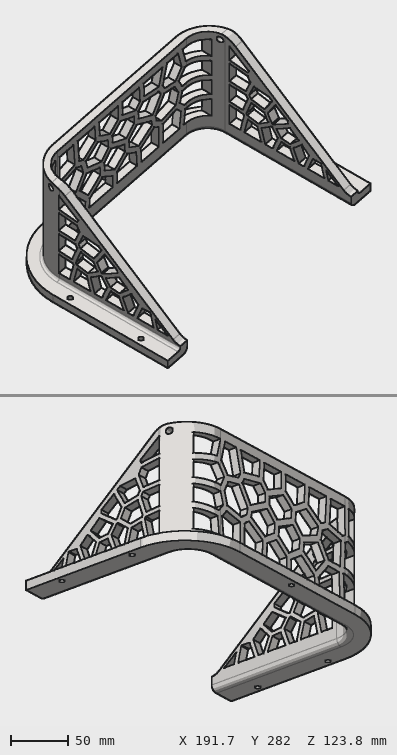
import cadquery as cq
import math

length = 191.7
width = 282.0
height = 123.8

flange_thickness = 9.3
flange_corner_radius = 61.7
back_wall_offset = 17.0
side_wall_offset = 17.5
wall_corner_radius = 38.0
root_fillet = 3.0
back_inner_offset = 25.5
side_inner_offset = 27.0
inner_corner_radius = 24.2
inner_bottom_fillet = 6.0

slope_top_x = 54.5
toe_height = 13.8
slope_toe_x = 187.0
slope_top_tangent = 9.0

flange_hole_diameter = 5.0
flange_hole_inset = 6.5
flange_hole_xs = (76.5, 156.2)
wall_hole_diameter = 6.5
wall_hole_x = 44.5
wall_hole_drop = 7.3

back_window_bottom = 19.2
window_top = 114.0
back_window_half_width = 110.5
back_web = 6.2
back_seeds = [
    (98.7, 105.0), (71.0, 98.0), (43.0, 105.2), (13.5, 103.5),
    (-17.0, 103.5), (-50.0, 101.2), (-75.5, 99.5), (-102.5, 99.8),
    (96.0, 78.7), (38.3, 80.4), (2.5, 79.5), (-33.5, 76.5), (-68.0, 67.5), (-98.5, 66.0),
    (96.7, 53.5), (64.0, 63.5), (25.0, 55.8), (-10.0, 53.5), (-43.5, 51.3),
    (99.5, 29.0), (70.2, 32.1), (39.5, 32.0), (8.5, 30.0),
    (-27.0, 28.8), (-67.0, 32.1), (-96.1, 33.5),
]

side_window_bottom = 17.8
side_window_start = 54.7
side_window_end = 177.5
side_web = 4.5
side_seeds = [
    (68.5, 105.7),
    (65.0, 80.4), (90.0, 71.0), (108.8, 60.5),
    (63.7, 55.5), (85.1, 48.5), (120.0, 44.3),
    (61.7, 29.5), (80.5, 25.7), (99.5, 30.5), (118.0, 23.7), (135.0, 30.5), (153.0, 24.2), (170.5, 28.2),
]
solid_seeds = [(92.5, 93.5), (136.5, 62.0), (152.2, 47.5)]


def u_block(back_offset, side_offset, corner_radius, block_height):
    """Block inset from the back and both sides, with two rounded back corners."""
    return (
        cq.Workplane("XY")
        .box(length - back_offset, width - 2 * side_offset, block_height, centered=(False, True, False))
        .translate((back_offset, 0, 0))
        .edges("|Z and <X")
        .fillet(corner_radius)
    )


def flange_and_wall():
    flange = u_block(0, 0, flange_corner_radius, flange_thickness)
    wall = u_block(back_wall_offset, side_wall_offset, wall_corner_radius, height)
    interior = u_block(back_inner_offset, side_inner_offset, inner_corner_radius, height)
    back_root = cq.selectors.NearestToPointSelector((back_wall_offset, 0, flange_thickness))
    solid = flange.union(wall).edges(back_root).fillet(root_fillet).cut(interior)
    inner_bottom_edge = cq.selectors.NearestToPointSelector((back_inner_offset, 0, 0))
    return solid.edges(inner_bottom_edge).fillet(inner_bottom_fillet)


def above_slope():
    """Everything over the rounded, sloping top edge of the side walls."""
    angle = math.atan2(height - toe_height, slope_toe_x - slope_top_x)
    toe_tangent = length - slope_toe_x
    return (
        cq.Workplane("XZ")
        .moveTo(0, height)
        .lineTo(slope_top_x - slope_top_tangent, height)
        .tangentArcPoint(
            (slope_top_x + slope_top_tangent * math.cos(angle), height - slope_top_tangent * math.sin(angle)),
            relative=False,
        )
        .lineTo(slope_toe_x - toe_tangent * math.cos(angle), toe_height + toe_tangent * math.sin(angle))
        .tangentArcPoint((length, toe_height), relative=False)
        .lineTo(length, 2 * height)
        .lineTo(0, 2 * height)
        .close()
        .extrude(width / 2, both=True)
    )


def clip(polygon, seed, neighbour, web):
    """Keep the part of the polygon on the seed's side of the web to its neighbour."""
    gap = math.dist(seed, neighbour)
    normal = ((neighbour[0] - seed[0]) / gap, (neighbour[1] - seed[1]) / gap)
    limit = (gap - web) / 2

    def excess(point):
        return (point[0] - seed[0]) * normal[0] + (point[1] - seed[1]) * normal[1] - limit

    kept = []
    for start, end in zip(polygon, polygon[1:] + polygon[:1]):
        before = excess(start)
        after = excess(end)
        if before <= 0:
            kept.append(start)
        if before * after < 0:
            share = before / (before - after)
            kept.append((start[0] + share * (end[0] - start[0]), start[1] + share * (end[1] - start[1])))
    return kept


def cell_outlines(open_seeds, all_seeds, window, web):
    outlines = []
    for seed in open_seeds:
        outline = window
        for neighbour in all_seeds:
            if neighbour != seed:
                outline = clip(outline, seed, neighbour, web)
        outlines.append(outline)
    return outlines


def cut_cells(body, plane, outlines, depth, both):
    for outline in outlines:
        body = body.cut(cq.Workplane(plane).polyline(outline).close().extrude(depth, both=both))
    return body


def cut_back_cells(body):
    window = [
        (-back_window_half_width, back_window_bottom),
        (back_window_half_width, back_window_bottom),
        (back_window_half_width, window_top),
        (-back_window_half_width, window_top),
    ]
    inner_corner_center = back_inner_offset + inner_corner_radius
    outlines = cell_outlines(back_seeds, back_seeds, window, back_web)
    return cut_cells(body, "YZ", outlines, inner_corner_center, False)


def cut_side_cells(body):
    window = [
        (side_window_start, side_window_bottom),
        (side_window_end, side_window_bottom),
        (side_window_start, window_top),
    ]
    outlines = cell_outlines(side_seeds, side_seeds + solid_seeds, window, side_web)
    return cut_cells(body, "XZ", outlines, width / 2, True)


def screw_holes():
    side_y = width / 2 - flange_hole_inset
    places = [(flange_hole_inset, 0)]
    for x in flange_hole_xs:
        places += [(x, side_y), (x, -side_y)]
    flange_holes = (
        cq.Workplane("XY").pushPoints(places).circle(flange_hole_diameter / 2).extrude(flange_thickness)
    )
    wall_holes = (
        cq.Workplane("XZ")
        .center(wall_hole_x, height - wall_hole_drop)
        .circle(wall_hole_diameter / 2)
        .extrude(width / 2, both=True)
    )
    return flange_holes.union(wall_holes)


body = flange_and_wall().cut(above_slope())
body = cut_back_cells(body)
body = cut_side_cells(body)
result = body.cut(screw_holes())